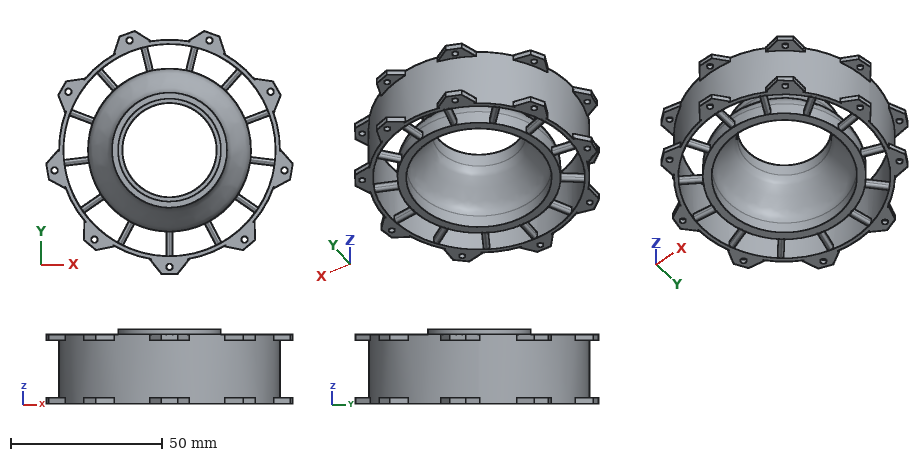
import cadquery as cq

ring_outer_radius = 73.0 / 2
ring_inner_radius = 70.0 / 2
ring_height = 23.0

lug_count = 9
lug_thickness = 2.0
lug_reach = 40.9
lug_tip_width = 5.3
lug_base_radius = 36.0
lug_base_width = 13.0
lug_hole_radius = 38.5
lug_hole_diameter = 2.0

base_outer_radius = 53.85 / 2
base_inner_radius = 48.0 / 2
base_height = 5.05
neck_outer_radius = 38.0 / 2
neck_bottom = 20.45
neck_bore_bottom = 19.6
bore_radius = 31.0 / 2
collar_outer_radius = 34.0 / 2
hub_height = 24.7
flare_handle_share = 0.38

spoke_count = 13
spoke_width = 2.0
spoke_height = 3.0
spoke_edge_radius = 0.9

first_angle = -90


def make_ring():
    return (
        cq.Workplane("XY")
        .circle(ring_outer_radius)
        .circle(ring_inner_radius)
        .extrude(ring_height)
    )


def flare(start_radius, start_height, end_radius, end_height):
    """Control points of an S-curve that leaves and arrives parallel to Z."""
    handle = (end_height - start_height) * flare_handle_share
    return [
        (start_radius, start_height),
        (start_radius, start_height + handle),
        (end_radius, end_height - handle),
        (end_radius, end_height),
    ]


def make_hub():
    """Revolve the hub wall about Z; the flares leave both ends vertically."""
    profile = (
        cq.Workplane("XZ")
        .moveTo(base_inner_radius, 0)
        .lineTo(base_outer_radius, 0)
        .lineTo(base_outer_radius, base_height)
        .bezier(flare(base_outer_radius, base_height, neck_outer_radius, neck_bottom))
        .lineTo(neck_outer_radius, ring_height)
        .lineTo(collar_outer_radius, ring_height)
        .lineTo(collar_outer_radius, hub_height)
        .lineTo(bore_radius, hub_height)
        .lineTo(bore_radius, neck_bore_bottom)
        .bezier(flare(bore_radius, neck_bore_bottom, base_inner_radius, base_height))
        .close()
    )
    return profile.revolve(360, (0, 0, 0), (0, 1, 0))


def make_lug():
    """One drilled trapezoidal lug pointing along +X, resting on Z = 0."""
    outline = [
        (lug_base_radius, -lug_base_width / 2),
        (lug_reach, -lug_tip_width / 2),
        (lug_reach, lug_tip_width / 2),
        (lug_base_radius, lug_base_width / 2),
    ]
    plate = cq.Workplane("XY").polyline(outline).close().extrude(lug_thickness)
    hole = (
        cq.Workplane("XY")
        .center(lug_hole_radius, 0)
        .circle(lug_hole_diameter / 2)
        .extrude(lug_thickness)
    )
    return plate.cut(hole)


def make_spoke():
    """One spoke along +X, its ends buried in the hub and ring walls."""
    start = (base_inner_radius + base_outer_radius) / 2
    end = (ring_inner_radius + ring_outer_radius) / 2
    return (
        cq.Workplane("YZ", origin=(start, 0, spoke_height / 2))
        .rect(spoke_width, spoke_height)
        .extrude(end - start)
        .edges("|X")
        .fillet(spoke_edge_radius)
    )


def turned(shape, index, count):
    return shape.rotate((0, 0, 0), (0, 0, 1), first_angle + index * 360 / count)


result = make_ring().union(make_hub())

for index in range(spoke_count):
    result = result.union(turned(make_spoke(), index, spoke_count))

for index in range(lug_count):
    lug = turned(make_lug(), index, lug_count)
    for bottom in (0, ring_height - lug_thickness):
        result = result.union(lug.translate((0, 0, bottom)))